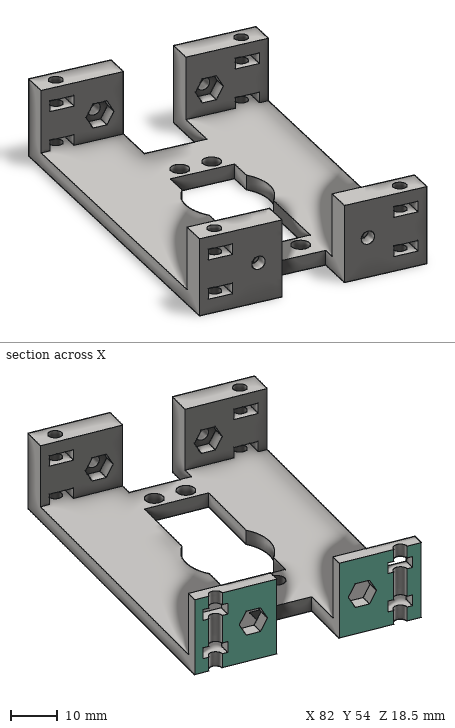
import cadquery as cq
import math

length = 82.0
width = 54.0
height = 18.5

plate_thickness = 3.5
post_thickness = 6.0

notch_width = 14.85
left_notch_depth = 16.0
right_notch_depth = 9.0

window_left = -12.1
window_right = 24.2
window_width = 15.25
relief_diameter = 20.0

mount_hole_diameter = 4.2
mount_hole_left = -15.3
mount_hole_right = 27.3
mount_hole_spacing = 7.55

screw_diameter = 3.1
vertical_screw_spacing = 44.0
cross_screw_spacing = 26.0
cross_screw_height = 9.5
nut_across_flats = 5.7
nut_pocket_depth = 3.0
nut_slot_width = nut_across_flats
nut_slot_height = 2.55
lower_slot_bottom = plate_thickness
upper_slot_bottom = 12.95

post_x = (length - post_thickness) / 2
inner_face_x = length / 2 - post_thickness
sides = (-1, 1)


def box(x_min, x_max, y_size, z_min, z_max):
    """Box between two X and two Z positions, centred on Y."""
    return (
        cq.Workplane("XY")
        .box(x_max - x_min, y_size, z_max - z_min, centered=(False, True, False))
        .translate((x_min, 0, z_min))
    )


def vertical_holes(points, diameter):
    """Cylinders through the full height at the given XY points."""
    return cq.Workplane("XY").pushPoints(points).circle(diameter / 2).extrude(height)


def channel_body():
    """Plate with an upright wall at each end, divided into posts by the notches."""
    body = box(-length / 2, length / 2, width, 0, height)
    body = body.cut(box(-inner_face_x, inner_face_x, width, plate_thickness, height))
    left_notch = box(-length / 2, -length / 2 + left_notch_depth, notch_width, 0, height)
    right_notch = box(length / 2 - right_notch_depth, length / 2, notch_width, 0, height)
    return body.cut(left_notch).cut(right_notch)


def window():
    """Rectangular opening joined with the round relief."""
    opening = box(window_left, window_right, window_width, 0, plate_thickness)
    relief = cq.Workplane("XY").circle(relief_diameter / 2).extrude(plate_thickness)
    return opening.union(relief)


def mount_holes():
    points = [
        (x, side * mount_hole_spacing / 2)
        for x in (mount_hole_left, mount_hole_right)
        for side in sides
    ]
    return vertical_holes(points, mount_hole_diameter)


def post_screw_holes():
    """Vertical screw hole through each post."""
    points = [
        (x_side * post_x, y_side * vertical_screw_spacing / 2)
        for x_side in sides
        for y_side in sides
    ]
    return vertical_holes(points, screw_diameter)


def nut_slots(y_side):
    """Upper and lower nut slots through both posts on one side."""
    y = y_side * vertical_screw_spacing / 2
    lower, upper = [
        box(-length / 2, length / 2, nut_slot_width, bottom, bottom + nut_slot_height)
        for bottom in (lower_slot_bottom, upper_slot_bottom)
    ]
    return lower.union(upper).translate((0, y, 0))


def cross_screw(y_side):
    """Horizontal screw hole through both posts, with hexagonal nut pockets in their inner faces."""
    axis = (0, y_side * cross_screw_spacing / 2, cross_screw_height)
    nut_across_corners = nut_across_flats / math.cos(math.pi / 6)
    pocket_reach = inner_face_x + nut_pocket_depth
    hole = cq.Workplane("YZ").circle(screw_diameter / 2).extrude(length / 2, both=True)
    pockets = cq.Workplane("YZ").polygon(6, nut_across_corners).extrude(pocket_reach, both=True)
    return hole.union(pockets).translate(axis)


result = channel_body().cut(window()).cut(mount_holes()).cut(post_screw_holes())
for y_side in sides:
    result = result.cut(nut_slots(y_side)).cut(cross_screw(y_side))